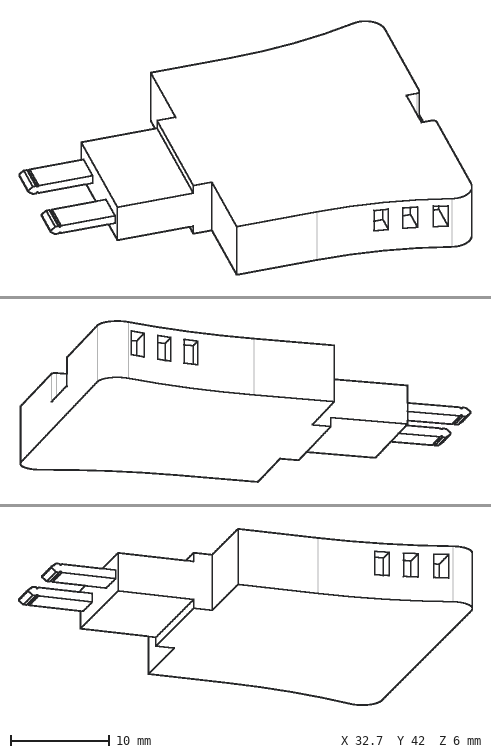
import cadquery as cq
import math

length = 42.0
head_width = 32.7
thickness = 6.0

body_half_width = 14.3
body_front_y = 16.95
flare_start_y = 25.5
corner_radius = 2.1

neck_width = 12.05
neck_front_y = 15.0
block_front_y = 6.9
block_thickness = 4.1

pin_width = 3.02
pin_thickness = 0.92
pin_spacing = 7.45
pin_groove_start_y = 0.85
pin_groove_end_y = 1.15
pin_groove_depth = 0.13
pin_taper_length = 0.5
pin_tip_thickness = 0.13

notch_width = 5.0
notch_length = 1.5
notch_depth = thickness / 2
notch_lip_radius = 0.4

window_centers_y = (32.25, 35.2, 38.2)
window_length = 1.45
window_bottom_z = -0.4
window_top_z = 2.1
window_floor_x = 13.0


def make_body():
    """Plate whose sides flare in concave arcs that run smoothly into the rear corners."""
    corner_x = head_width / 2 - corner_radius
    corner_y = length - corner_radius

    side_step = body_half_width - corner_x
    rise = corner_y - flare_start_y
    flare_radius = (rise**2 + side_step**2 - corner_radius**2) / (2 * (corner_radius - side_step))
    flare_center_x = body_half_width + flare_radius
    flare_angle = math.asin(rise / (flare_radius + corner_radius))

    def flare_point(angle):
        return (
            flare_center_x - flare_radius * math.cos(angle),
            flare_start_y + flare_radius * math.sin(angle),
        )

    corner_mid_angle = (math.pi / 2 - flare_angle) / 2
    corner_mid = (
        corner_x + corner_radius * math.cos(corner_mid_angle),
        corner_y + corner_radius * math.sin(corner_mid_angle),
    )
    half = (
        cq.Workplane("XY", origin=(0, 0, -thickness / 2))
        .moveTo(0, body_front_y)
        .lineTo(body_half_width, body_front_y)
        .lineTo(body_half_width, flare_start_y)
        .threePointArc(flare_point(flare_angle / 2), flare_point(flare_angle))
        .threePointArc(corner_mid, (corner_x, length))
        .lineTo(0, length)
        .close()
        .extrude(thickness)
    )
    return half.union(half.mirror("YZ"))


def make_bar(front_y, height):
    """Neck-wide bar from front_y back to the body."""
    bar_length = body_front_y - front_y
    return cq.Workplane("XY").box(neck_width, bar_length, height).translate((0, front_y + bar_length / 2, 0))


def make_pin(center_x):
    """Flat pin with a tapered tip and a V-groove across both faces."""
    half = pin_thickness / 2
    groove_mid_y = (pin_groove_start_y + pin_groove_end_y) / 2
    upper = [
        (block_front_y, half),
        (pin_groove_end_y, half),
        (groove_mid_y, half - pin_groove_depth),
        (pin_groove_start_y, half),
        (pin_taper_length, half),
        (0, pin_tip_thickness / 2),
    ]
    lower = [(y, -z) for y, z in reversed(upper)]
    pin = cq.Workplane("YZ").polyline(upper + lower).close().extrude(pin_width / 2, both=True)
    return pin.translate((center_x, 0, 0))


def make_notch():
    """Cutter for the rear notch, widening through rounded lips at the rear edge."""
    half = notch_width / 2
    lip_y = length - notch_lip_radius
    lip_x = half + notch_lip_radius
    lip_offset = notch_lip_radius * math.sqrt(0.5)
    lip_mid_x = lip_x - lip_offset
    lip_mid_y = lip_y + lip_offset
    return (
        cq.Workplane("XY", origin=(0, 0, thickness / 2 - notch_depth))
        .moveTo(-half, length - notch_length)
        .lineTo(half, length - notch_length)
        .lineTo(half, lip_y)
        .threePointArc((lip_mid_x, lip_mid_y), (lip_x, length))
        .lineTo(-lip_x, length)
        .threePointArc((-lip_mid_x, lip_mid_y), (-half, lip_y))
        .close()
        .extrude(notch_depth)
    )


def make_window(side, center_y):
    """Cutter for one grip window; side is -1 or 1."""
    depth = head_width / 2 - window_floor_x
    height = window_top_z - window_bottom_z
    center = (side * (window_floor_x + depth / 2), center_y, window_bottom_z + height / 2)
    return cq.Workplane("XY").box(depth, window_length, height).translate(center)


result = make_body()
result = result.union(make_bar(neck_front_y, thickness))
result = result.union(make_bar(block_front_y, block_thickness))
for side in (-1, 1):
    result = result.union(make_pin(side * pin_spacing / 2))
    for center_y in window_centers_y:
        result = result.cut(make_window(side, center_y))
result = result.cut(make_notch())